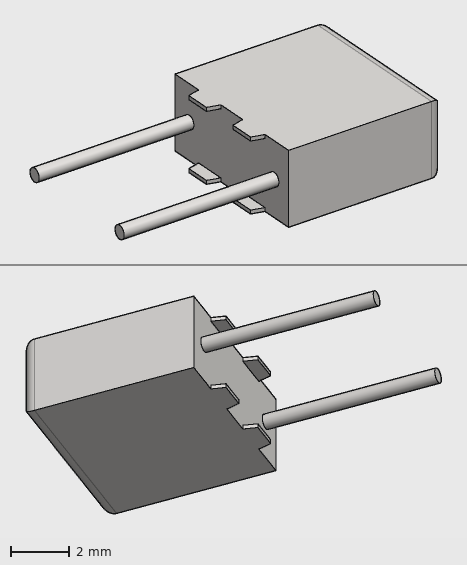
import cadquery as cq
import math


housing_width = 6.7
housing_length = 6.5
housing_thickness = 3.0
back_edge_radius = 0.5

tab_tip_width = 1.04
tab_length = 0.51
tab_thickness = 0.15
tab_spacing = 2.6
tab_flank_angle = 15.0
tab_root_width = tab_tip_width + 2 * tab_length * math.tan(math.radians(tab_flank_angle))

overall_length = 13.0
lead_length = overall_length - housing_length
lead_diameter = 0.55
lead_spacing = 5.0


def make_tab(center_x, bottom_z):
    """Trapezoid tab that narrows from the lead face to its tip."""
    half_root = tab_root_width / 2
    half_tip = tab_tip_width / 2
    return (
        cq.Workplane("XY")
        .workplane(offset=bottom_z)
        .center(center_x, 0)
        .moveTo(-half_root, 0)
        .lineTo(-half_tip, -tab_length)
        .lineTo(half_tip, -tab_length)
        .lineTo(half_root, 0)
        .close()
        .extrude(tab_thickness)
    )


def make_housing():
    """Box with all four back edges rounded and four tabs on the lead face."""
    box = (
        cq.Workplane("XY")
        .box(housing_width, housing_length, housing_thickness)
        .translate((0, housing_length / 2, 0))
        .faces(">Y")
        .edges()
        .fillet(back_edge_radius)
    )
    lower_tab_z = -housing_thickness / 2
    upper_tab_z = housing_thickness / 2 - tab_thickness
    for center_x in (-tab_spacing / 2, tab_spacing / 2):
        for bottom_z in (lower_tab_z, upper_tab_z):
            box = box.union(make_tab(center_x, bottom_z))
    return box.clean()


def make_lead(center_x):
    """Straight round wire that ends against the lead face."""
    return (
        cq.Workplane("XZ")
        .center(center_x, 0)
        .circle(lead_diameter / 2)
        .extrude(lead_length)
    )


housing = make_housing()
leads = [make_lead(center_x) for center_x in (-lead_spacing / 2, lead_spacing / 2)]

result = cq.Compound.makeCompound([housing.val(), *[lead.val() for lead in leads]])